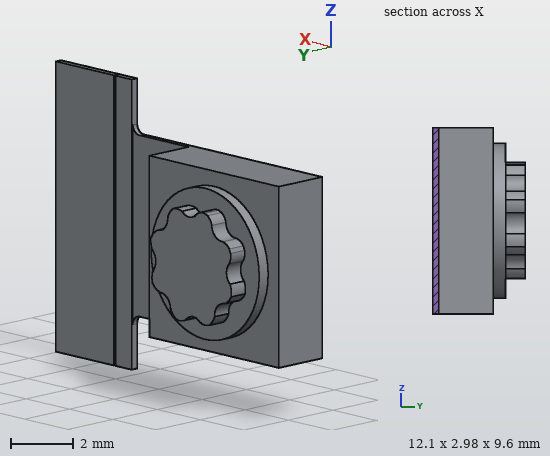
import cadquery as cq
import math

block_length = 6.0
block_height = 6.0
block_depth = 1.95

part_length = 12.1
tab_height = 9.6
tab_length = 3.53
tab_start = part_length - tab_length
plate_thickness = 0.2
tab_thickness = 0.25
corner_radius = 0.3

groove_center = 9.36
groove_width = 0.1
groove_depth = 0.08

axis_x = block_length / 2
collar_diameter = 5.0
collar_height = 0.4
knob_height = 0.63
flute_count = 8
flute_pitch = 360 / flute_count
first_flute_angle = -2.5
flute_half_angle = 10.8
flute_edge_radius = 1.82
flute_depth = 0.15
lobe_tip_radius = 1.975
lobe_bulge = 0.032
blunt_tip_half_width = 0.075
blunt_lobes = (2, 3)


def plane_at(depth):
    """Sketch plane parallel to XZ at Y = depth, whose extrusions grow toward +Y."""
    return cq.Plane(origin=(0, depth, 0), xDir=(-1, 0, 0), normal=(0, 1, 0))


def sketch_point(x, z):
    """Convert part X and Z to the sketch coordinates of plane_at."""
    return (-x, z)


def box(x_start, x_end, y_start, y_end, height):
    """Box centred on Z = 0."""
    size = (x_end - x_start, y_end - y_start, height)
    return cq.Workplane("XY").box(*size, centered=(False, False, True)).translate((x_start, y_start, 0))


def make_base_plate():
    """Thin neck and wider, thicker tab, with rounded inner corners and the tab groove."""
    neck = box(0, tab_start, 0, plate_thickness, block_height)
    tab = box(tab_start, part_length, 0, tab_thickness, tab_height)
    plate = neck.union(tab)
    for side in (-1, 1):
        edge_z = side * block_height / 2
        round_start = tab_start - corner_radius
        round_end = edge_z + side * corner_radius
        mid_offset = corner_radius * math.sqrt(0.5)
        corner = (
            cq.Workplane(plane_at(0))
            .moveTo(*sketch_point(round_start, edge_z))
            .threePointArc(
                sketch_point(round_start + mid_offset, round_end - side * mid_offset),
                sketch_point(tab_start, round_end),
            )
            .lineTo(*sketch_point(tab_start, edge_z))
            .close()
            .extrude(plate_thickness)
        )
        plate = plate.union(corner)
    groove = box(
        groove_center - groove_width / 2,
        groove_center + groove_width / 2,
        tab_thickness - groove_depth,
        tab_thickness,
        tab_height,
    )
    return plate.cut(groove)


def make_collar():
    """Round disc on the back of the block."""
    return (
        cq.Workplane(plane_at(block_depth))
        .center(*sketch_point(axis_x, 0))
        .circle(collar_diameter / 2)
        .extrude(collar_height)
    )


def knob_point(angle, radial, sideways=0.0):
    """Point measured along and across the ray at the given angle from +X toward +Z."""
    ray = math.radians(angle)
    x = axis_x + radial * math.cos(ray) - sideways * math.sin(ray)
    z = radial * math.sin(ray) + sideways * math.cos(ray)
    return sketch_point(x, z)


def make_knob():
    """Fluted knob whose lobes come to a crest, two of them with a narrow flat tip."""
    half_flute = math.radians(flute_half_angle)
    start_radial = flute_edge_radius * math.cos(half_flute)
    start_sideways = -flute_edge_radius * math.sin(half_flute)
    flute_floor = start_radial - flute_depth
    lobe_half_angle = math.radians(flute_pitch / 2 - flute_half_angle)
    edge_radial = flute_edge_radius * math.cos(lobe_half_angle)
    edge_sideways = flute_edge_radius * math.sin(lobe_half_angle)

    outline = cq.Workplane(plane_at(block_depth + collar_height))
    outline = outline.moveTo(*knob_point(first_flute_angle, start_radial, start_sideways))
    for i in range(flute_count):
        flute_angle = first_flute_angle + i * flute_pitch
        lobe_angle = flute_angle + flute_pitch / 2
        tip = blunt_tip_half_width if i in blunt_lobes else 0.0
        run = edge_sideways - tip
        rise = lobe_tip_radius - edge_radial
        flank = math.hypot(run, rise)
        mid_radial = (edge_radial + lobe_tip_radius) / 2 + lobe_bulge * run / flank
        mid_sideways = (edge_sideways + tip) / 2 + lobe_bulge * rise / flank
        outline = outline.threePointArc(
            knob_point(flute_angle, flute_floor),
            knob_point(lobe_angle, edge_radial, -edge_sideways),
        )
        outline = outline.threePointArc(
            knob_point(lobe_angle, mid_radial, -mid_sideways),
            knob_point(lobe_angle, lobe_tip_radius, -tip),
        )
        if tip:
            outline = outline.lineTo(*knob_point(lobe_angle, lobe_tip_radius, tip))
        outline = outline.threePointArc(
            knob_point(lobe_angle, mid_radial, mid_sideways),
            knob_point(lobe_angle, edge_radial, edge_sideways),
        )
    return outline.close().extrude(knob_height)


block = box(0, block_length, 0, block_depth, block_height)
result = block.union(make_base_plate()).union(make_collar()).union(make_knob())